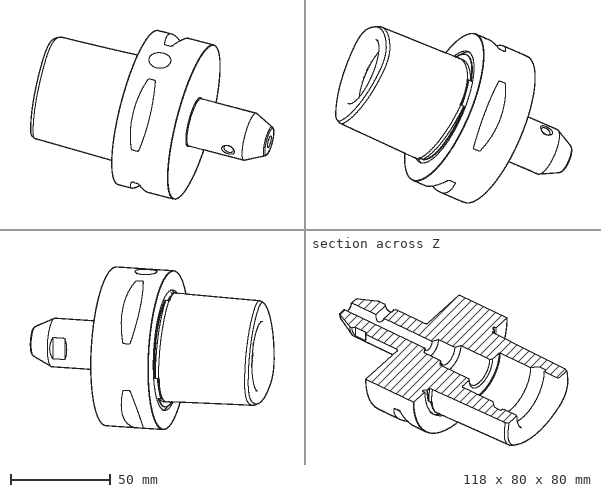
import cadquery as cq
import math

OVERALL_LENGTH = 118.0
SHANK_CHAMFER_X = 1.7
TAPER_END_X = 45.7
FLANGE_START_X = 48.0
FLANGE_END_X = 78.0
TIP_START_X = 107.7

LOBE_COUNT = 3
LOBE_CENTRE_RADIUS = 15.0
SMALL_CORNER_RADIUS = 13.3
LARGE_CORNER_RADIUS = 14.4
SHANK_CHAMFER = 0.8

FLANGE_RADIUS = 40.0
FLANGE_CHAMFER = 0.2

NECK_STEP = 0.1
NECK_STEP_LENGTH = 0.4
RELIEF_START_X = 46.6
RELIEF_INNER_RADIUS = 28.5
RELIEF_FILLET = 1.8
RELIEF_RUNOUT = 0.8
SHOULDER_HEIGHT = 0.4

GROOVE_OFFSET = 11.8
GROOVE_X = FLANGE_START_X + GROOVE_OFFSET
GROOVE_COUNT = 4
GROOVE_FLOOR_WIDTH = 3.7
GROOVE_FILLET = 0.7
GROOVE_FLOOR_DISTANCE = 35.5
GROOVE_SIDE_ANGLE = 30.0
DIMPLE_RADIUS = 5.5

SPIGOT_RADIUS = 12.3
SPIGOT_ROOT_CHAMFER = 0.5
TIP_RADIUS = 7.5
TIP_CHAMFER = 0.6

NOTCH_X = 102.1
NOTCH_FLOOR_LENGTH = 6.3
NOTCH_DEPTH = 1.3

CROSS_HOLE_X = 100.3
CROSS_HOLE_RADIUS = 2.5
CROSS_SINK_RADIUS = 3.4

MOUTH_RADIUS = 18.4
ENTRY_RADIUS = 17.5
ENTRY_END = 7.9
ENTRY_RELIEF_RADIUS = 17.8
CLAMP_GROOVE_START = 9.1
CLAMP_GROOVE_RADIUS = 19.0
CLAMP_GROOVE_FILLET = 2.7
LAND_RAMP_ANGLE = 45.0
LAND_RADIUS = 15.9
LAND_START = 16.2
BORE_FLOOR = 35.4
BORE_FLOOR_CHAMFER = 0.4

SOCKET_RADIUS = 17.8 / 2
SOCKET_CHAMFER = 1.0
SOCKET_END = 54.3
PILOT_RADIUS = 6.0
PILOT_END = 66.1
COOLANT_RADIUS = 6.0 / 2
DRILL_POINT_HALF_ANGLE = 60.0


def revolve_about_x(points):
    """Revolve a closed outline of (x, radius) points about the X axis."""
    outline = cq.Workplane("XY").polyline(points).close()
    return outline.revolve(360, (0, 0, 0), (1, 0, 0))


def on_circle(centre, radius, angle):
    """Point on a circle at an angle in radians."""
    return (centre[0] + radius * math.cos(angle), centre[1] + radius * math.sin(angle))


def draw_polygon(plane, corner_radius):
    """Draw the three-lobed outline, one lobe pointing to +Z, on a plane normal to X."""
    step = 2 * math.pi / LOBE_COUNT
    half_corner = math.pi / (2 * LOBE_COUNT)
    flat_radius = 2 * LOBE_CENTRE_RADIUS * math.cos(half_corner) + corner_radius
    outline = plane
    for index in range(LOBE_COUNT):
        lobe_angle = math.pi / 2 + index * step
        lobe = on_circle((0, 0), LOBE_CENTRE_RADIUS, lobe_angle)
        opposite_lobe = on_circle((0, 0), LOBE_CENTRE_RADIUS, lobe_angle - step)
        corner_start = on_circle(lobe, corner_radius, lobe_angle - half_corner)
        corner_middle = on_circle(lobe, corner_radius, lobe_angle)
        corner_end = on_circle(lobe, corner_radius, lobe_angle + half_corner)
        flat_angle = lobe_angle + step / 2
        flat_middle = on_circle(opposite_lobe, flat_radius, flat_angle)
        flat_end = on_circle(opposite_lobe, flat_radius, flat_angle + half_corner)
        if index == 0:
            outline = outline.moveTo(*corner_start)
        outline = outline.threePointArc(corner_middle, corner_end)
        outline = outline.threePointArc(flat_middle, flat_end)
    return outline.close()


def polygon_section(start_x, end_x, start_radius, end_radius):
    """Ruled length of polygon between two X positions and corner radii."""
    section = draw_polygon(cq.Workplane("YZ", origin=(start_x, 0, 0)), start_radius)
    section = section.workplane(offset=end_x - start_x)
    return draw_polygon(section, end_radius).loft(ruled=True, combine=True)


def make_shank():
    """Chamfered end, tapered length and straight neck of the polygon shank."""
    taper_rate = (LARGE_CORNER_RADIUS - SMALL_CORNER_RADIUS) / TAPER_END_X
    chamfer_radius = SMALL_CORNER_RADIUS + taper_rate * SHANK_CHAMFER_X
    chamfer = polygon_section(0, SHANK_CHAMFER_X, chamfer_radius - SHANK_CHAMFER, chamfer_radius)
    taper = polygon_section(SHANK_CHAMFER_X, TAPER_END_X, chamfer_radius, LARGE_CORNER_RADIUS)
    neck_radius = LARGE_CORNER_RADIUS + NECK_STEP
    neck_start_x = TAPER_END_X + NECK_STEP_LENGTH
    step = polygon_section(TAPER_END_X, neck_start_x, LARGE_CORNER_RADIUS, neck_radius)
    neck = polygon_section(neck_start_x, FLANGE_START_X, neck_radius, neck_radius)
    return chamfer.union(taper).union(step).union(neck)


def make_relief():
    """Annular cut that trims the neck lobes and runs into the flange with a round bottom."""
    shoulder_x = FLANGE_START_X - SHOULDER_HEIGHT
    outer_radius = RELIEF_INNER_RADIUS + RELIEF_FILLET
    floor_x = shoulder_x + RELIEF_FILLET
    return (
        cq.Workplane("XY")
        .moveTo(RELIEF_START_X, RELIEF_INNER_RADIUS)
        .lineTo(shoulder_x, RELIEF_INNER_RADIUS)
        .threePointArc(
            on_circle((shoulder_x, outer_radius), RELIEF_FILLET, -math.pi / 4),
            (floor_x, outer_radius),
        )
        .lineTo(RELIEF_START_X - RELIEF_RUNOUT, outer_radius)
        .lineTo(RELIEF_START_X - RELIEF_RUNOUT, RELIEF_INNER_RADIUS + RELIEF_RUNOUT)
        .close()
        .revolve(360, (0, 0, 0), (1, 0, 0))
    )


def make_turned_body():
    """Flange with a low shoulder under the neck, and the spigot with its conical tip."""
    return revolve_about_x([
        (FLANGE_START_X - SHOULDER_HEIGHT, 0),
        (FLANGE_START_X - SHOULDER_HEIGHT, RELIEF_INNER_RADIUS),
        (FLANGE_START_X, RELIEF_INNER_RADIUS),
        (FLANGE_START_X, FLANGE_RADIUS - FLANGE_CHAMFER),
        (FLANGE_START_X + FLANGE_CHAMFER, FLANGE_RADIUS),
        (FLANGE_END_X - FLANGE_CHAMFER, FLANGE_RADIUS),
        (FLANGE_END_X, FLANGE_RADIUS - FLANGE_CHAMFER),
        (FLANGE_END_X, SPIGOT_RADIUS + SPIGOT_ROOT_CHAMFER),
        (FLANGE_END_X + SPIGOT_ROOT_CHAMFER, SPIGOT_RADIUS),
        (TIP_START_X, SPIGOT_RADIUS),
        (OVERALL_LENGTH - TIP_CHAMFER, TIP_RADIUS),
        (OVERALL_LENGTH, TIP_RADIUS - TIP_CHAMFER),
        (OVERALL_LENGTH, 0),
    ])


def make_bore():
    """Stepped bore with an internal clamping groove, narrowing to the coolant hole at the tip."""
    mouth_depth = MOUTH_RADIUS - ENTRY_RADIUS
    ramp_angle = math.radians(LAND_RAMP_ANGLE)
    fillet_end_radius = CLAMP_GROOVE_RADIUS - CLAMP_GROOVE_FILLET * (1 - math.cos(ramp_angle))
    fillet_end_x = LAND_START - (fillet_end_radius - LAND_RADIUS) / math.tan(ramp_angle)
    fillet_centre = (
        fillet_end_x - CLAMP_GROOVE_FILLET * math.sin(ramp_angle),
        CLAMP_GROOVE_RADIUS - CLAMP_GROOVE_FILLET,
    )
    drill_slope = math.tan(math.radians(DRILL_POINT_HALF_ANGLE))
    pilot_cone_length = (SOCKET_RADIUS - PILOT_RADIUS) / drill_slope
    coolant_cone_length = (PILOT_RADIUS - COOLANT_RADIUS) / drill_slope
    profile = (
        cq.Workplane("XY")
        .moveTo(0, 0)
        .lineTo(0, MOUTH_RADIUS)
        .threePointArc(
            on_circle((mouth_depth, MOUTH_RADIUS), mouth_depth, -3 * math.pi / 4),
            (mouth_depth, ENTRY_RADIUS),
        )
        .lineTo(ENTRY_END, ENTRY_RADIUS)
        .lineTo(CLAMP_GROOVE_START, ENTRY_RELIEF_RADIUS)
        .lineTo(CLAMP_GROOVE_START, CLAMP_GROOVE_RADIUS)
        .lineTo(fillet_centre[0], CLAMP_GROOVE_RADIUS)
        .threePointArc(
            on_circle(fillet_centre, CLAMP_GROOVE_FILLET, math.pi / 2 - ramp_angle / 2),
            (fillet_end_x, fillet_end_radius),
        )
        .lineTo(LAND_START, LAND_RADIUS)
        .lineTo(BORE_FLOOR - BORE_FLOOR_CHAMFER, LAND_RADIUS)
        .lineTo(BORE_FLOOR, LAND_RADIUS - BORE_FLOOR_CHAMFER)
        .lineTo(BORE_FLOOR, SOCKET_RADIUS + SOCKET_CHAMFER)
        .lineTo(BORE_FLOOR + SOCKET_CHAMFER, SOCKET_RADIUS)
        .lineTo(SOCKET_END, SOCKET_RADIUS)
        .lineTo(SOCKET_END + pilot_cone_length, PILOT_RADIUS)
        .lineTo(PILOT_END, PILOT_RADIUS)
        .lineTo(PILOT_END + coolant_cone_length, COOLANT_RADIUS)
        .lineTo(OVERALL_LENGTH, COOLANT_RADIUS)
        .lineTo(OVERALL_LENGTH, 0)
        .close()
    )
    return profile.revolve(360, (0, 0, 0), (1, 0, 0))


def make_gripper_groove(angle):
    """Trapezoidal groove running tangentially, turned about X from the +Z direction."""
    depth = FLANGE_RADIUS - GROOVE_FLOOR_DISTANCE
    half_floor = GROOVE_FLOOR_WIDTH / 2
    half_top = half_floor + depth * math.tan(math.radians(GROOVE_SIDE_ANGLE))
    groove = (
        cq.Workplane("XZ")
        .polyline([
            (GROOVE_X - half_floor, GROOVE_FLOOR_DISTANCE),
            (GROOVE_X + half_floor, GROOVE_FLOOR_DISTANCE),
            (GROOVE_X + half_top, FLANGE_RADIUS),
            (GROOVE_X - half_top, FLANGE_RADIUS),
        ])
        .close()
        .extrude(FLANGE_RADIUS, both=True)
        .edges("|Y and <Z")
        .fillet(GROOVE_FILLET)
    )
    return groove.rotate((0, 0, 0), (1, 0, 0), angle)


def make_dimple():
    """90 degree drill point sunk into the top of the flange."""
    return cq.Workplane(
        cq.Solid.makeCone(
            0,
            DIMPLE_RADIUS,
            DIMPLE_RADIUS,
            cq.Vector(GROOVE_X, 0, FLANGE_RADIUS - DIMPLE_RADIUS),
            cq.Vector(0, 0, 1),
        )
    )


def make_notch():
    """Flat-bottomed notch with 45 degree ends, running along Z across the spigot."""
    half_floor = NOTCH_FLOOR_LENGTH / 2
    half_top = half_floor + NOTCH_DEPTH
    return (
        cq.Workplane("XY")
        .polyline([
            (NOTCH_X - half_floor, SPIGOT_RADIUS - NOTCH_DEPTH),
            (NOTCH_X + half_floor, SPIGOT_RADIUS - NOTCH_DEPTH),
            (NOTCH_X + half_top, SPIGOT_RADIUS),
            (NOTCH_X - half_top, SPIGOT_RADIUS),
        ])
        .close()
        .extrude(SPIGOT_RADIUS, both=True)
    )


def make_cross_hole():
    """Hole from the -Y side of the spigot to the axis, with a 45 degree countersink."""
    sink_depth = CROSS_SINK_RADIUS - CROSS_HOLE_RADIUS
    profile = (
        cq.Workplane("XY")
        .polyline([
            (CROSS_HOLE_X, 0),
            (CROSS_HOLE_X + CROSS_HOLE_RADIUS, 0),
            (CROSS_HOLE_X + CROSS_HOLE_RADIUS, sink_depth - SPIGOT_RADIUS),
            (CROSS_HOLE_X + CROSS_SINK_RADIUS, -SPIGOT_RADIUS),
            (CROSS_HOLE_X, -SPIGOT_RADIUS),
        ])
        .close()
    )
    return profile.revolve(360, (CROSS_HOLE_X, 0, 0), (CROSS_HOLE_X, 1, 0))


result = make_shank().union(make_turned_body()).cut(make_relief()).cut(make_bore())
for groove_index in range(GROOVE_COUNT):
    groove_angle = (groove_index + 0.5) * 360 / GROOVE_COUNT
    result = result.cut(make_gripper_groove(groove_angle))
result = result.cut(make_dimple()).cut(make_notch()).cut(make_cross_hole())